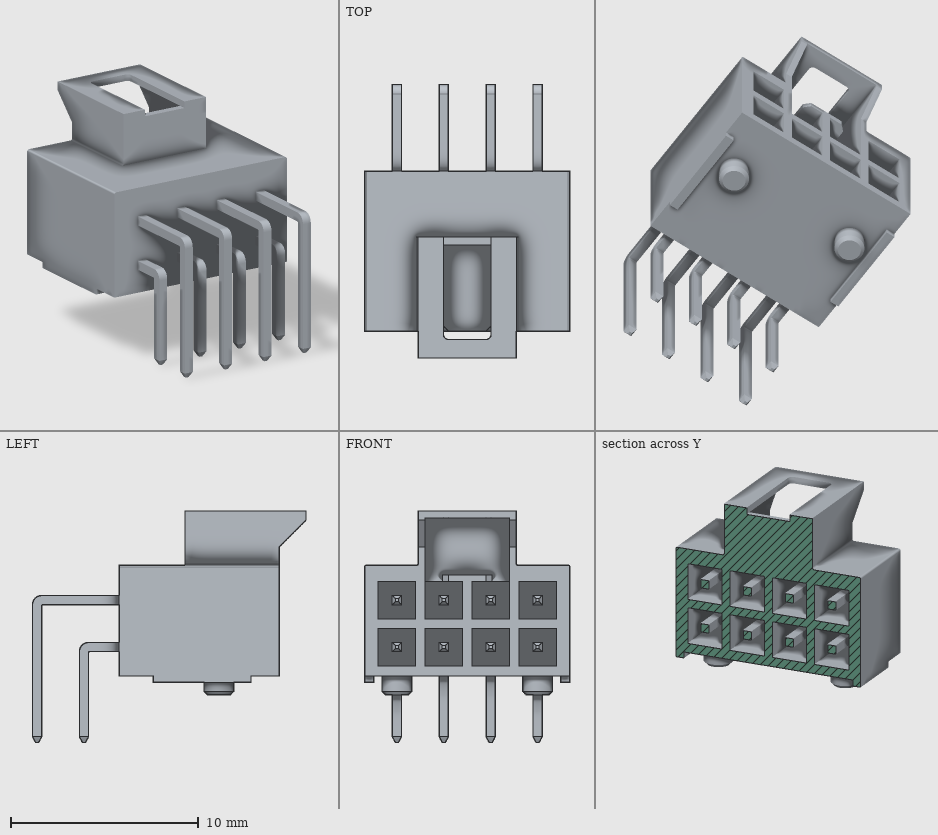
import cadquery as cq


columns = 4
pitch = 2.5
cell_size = 2.0
lower_row_z = 1.55
upper_row_z = lower_row_z + pitch
column_xs = [(i - (columns - 1) / 2) * pitch for i in range(columns)]

housing_width = 10.95
housing_depth = 8.54
housing_height = 5.91
edge_round = 0.1
cell_depth = 7.0

tower_width = 5.23
tower_depth = 5.03
tower_height = 2.892
tower_top = housing_height + tower_height
lip_overhang = 1.43
lip_height = 0.49
roof_thickness = 0.37
flare_radius = 0.1
tower_back_wall = 0.43
latch_cavity_width = pitch + cell_size
latch_cavity_depth = tower_depth - tower_back_wall
slot_width = 2.52
slot_overhang = 0.43
slot_corner_radius = 0.25

cell_top = upper_row_z + cell_size / 2
tongue_width = 2.62
tongue_thickness = 0.34
tongue_chamfer = 0.32

foot_width = 0.5
foot_height = 0.34
foot_front = 1.5
foot_length = 5.23
peg_diameter = 1.6
peg_length = 1.0
peg_chamfer = 0.19
peg_y = 3.22

pin_size = 0.5
pin_tip_length = 0.31
pin_tip_size = 0.17
pin_bend_outer_radius = 0.5
pin_bend_inner_radius = 0.05
pin_front_y = 2.5
pin_bottom = -3.542
upper_leg_back = 13.16
lower_leg_back = upper_leg_back - pitch


def block(x_size, y_start, y_end, z_start, z_end, x_center=0.0):
    """Box centred on x_center, between two Y planes and two Z planes."""
    size = (x_size, y_end - y_start, z_end - z_start)
    corner = (x_center - x_size / 2, y_start, z_start)
    return cq.Workplane("XY").box(*size, centered=False).translate(corner)


def make_housing():
    body = block(housing_width, 0, housing_depth, 0, housing_height)
    return body.edges("|Y and >Z").fillet(edge_round)


def make_tower():
    """Latch tower with an overhanging 45 degree lip, flared where it meets the housing."""
    lip_bottom = tower_top - lip_height
    profile = [
        (tower_depth, upper_row_z),
        (tower_depth, tower_top),
        (-lip_overhang, tower_top),
        (-lip_overhang, lip_bottom),
        (0, lip_bottom - lip_overhang),
        (0, upper_row_z),
    ]
    tower = (
        cq.Workplane("YZ")
        .polyline(profile)
        .close()
        .extrude(tower_width / 2, both=True)
    )
    for side in (-1, 1):
        wall_x = side * tower_width / 2
        flare = (
            cq.Workplane("XZ")
            .moveTo(wall_x, housing_height)
            .lineTo(wall_x + side * flare_radius, housing_height)
            .radiusArc((wall_x, housing_height + flare_radius), side * flare_radius)
            .close()
            .extrude(-tower_depth)
        )
        tower = tower.union(flare)
    return tower


def make_latch_cavity():
    """Space under the tower roof, open at the front and into the cells below."""
    return block(
        latch_cavity_width,
        -lip_overhang,
        latch_cavity_depth,
        cell_top,
        tower_top - roof_thickness,
    )


def make_roof_slot():
    """Slot through the tower roof, open at the back and rounded at the front."""
    slot = block(slot_width, -slot_overhang, tower_depth, tower_top - roof_thickness, tower_top)
    return slot.edges("|Z and <Y").fillet(slot_corner_radius)


def make_cell(x, z):
    half = cell_size / 2
    return block(cell_size, 0, cell_depth, z - half, z + half, x)


def make_tongue():
    tongue = block(tongue_width, 0, latch_cavity_depth, cell_top, cell_top + tongue_thickness)
    return tongue.edges("|Z and <Y").chamfer(tongue_chamfer)


def make_foot(side):
    x = side * (housing_width - foot_width) / 2
    return block(foot_width, foot_front, foot_front + foot_length, -foot_height, 0, x)


def make_peg(x):
    peg = cq.Workplane("XY").center(x, peg_y).circle(peg_diameter / 2).extrude(-peg_length)
    return peg.faces("<Z").chamfer(peg_chamfer)


def make_pin_tip(plane):
    """Tapered tip growing from the origin of the plane along its normal."""
    return (
        cq.Workplane(plane)
        .rect(pin_size, pin_size)
        .workplane(offset=pin_tip_length)
        .rect(pin_tip_size, pin_tip_size)
        .loft(ruled=True)
    )


def make_pin(x, z, leg_back):
    """Square pin along Y, bent down to a vertical leg, tapered at both ends."""
    half = pin_size / 2
    shank_front = pin_front_y + pin_tip_length
    leg_bottom = pin_bottom + pin_tip_length
    shank = block(pin_size, shank_front, leg_back, z - half, z + half, x)
    leg = block(pin_size, leg_back - pin_size, leg_back, leg_bottom, z + half, x)
    pin = shank.union(leg)
    inner_corner = cq.selectors.NearestToPointSelector((x, leg_back - pin_size, z - half))
    pin = pin.edges("|X and >Y and >Z").fillet(pin_bend_outer_radius)
    pin = pin.edges("|X").edges(inner_corner).fillet(pin_bend_inner_radius)
    front_plane = cq.Plane((x, shank_front, z), xDir=(1, 0, 0), normal=(0, -1, 0))
    bottom_plane = cq.Plane((x, leg_back - half, leg_bottom), xDir=(1, 0, 0), normal=(0, 0, -1))
    return pin.union(make_pin_tip(front_plane)).union(make_pin_tip(bottom_plane))


result = make_housing().union(make_tower())
result = result.cut(make_latch_cavity()).cut(make_roof_slot())
for column_x in column_xs:
    for row_z in (lower_row_z, upper_row_z):
        result = result.cut(make_cell(column_x, row_z))
result = result.union(make_tongue())

for foot_side in (-1, 1):
    result = result.union(make_foot(foot_side))
for peg_x in (column_xs[0], column_xs[-1]):
    result = result.union(make_peg(peg_x))

for column_x in column_xs:
    result = result.union(make_pin(column_x, lower_row_z, lower_leg_back))
    result = result.union(make_pin(column_x, upper_row_z, upper_leg_back))